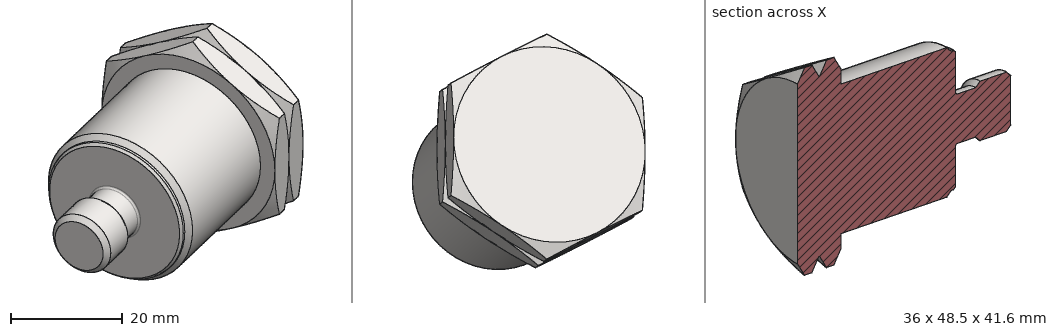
import cadquery as cq
import math

total_length = 48.5

nut_count = 2
nut_thickness = 5.0
across_flats = 36.0
across_corners = across_flats / math.cos(math.radians(30))
nut_chamfer_angle = 30.0

body_radius = 30.0 / 2
body_chamfer = 1.0
lip_radius = body_radius - body_chamfer
lip_length = 1.0
lip_chamfer = 0.5

neck_radius = 10.0 / 2
neck_fillet = 0.4
head_radius = 12.0 / 2
head_length = 8.0
head_chamfer = head_radius - neck_radius
pin_length = 12.5

body_front = total_length - pin_length
lip_start = body_front - lip_length
head_start = total_length - head_length


def make_nut(back):
    """Hexagonal nut with corners on Z, both faces chamfered down to the across-flats circle."""
    hexagon = (
        cq.Workplane("XZ", origin=(0, -back, 0))
        .polygon(6, across_corners)
        .extrude(nut_thickness)
        .rotate((0, 0, 0), (0, 1, 0), 30)
    )
    face_radius = across_flats / 2
    corner_radius = across_corners / 2
    chamfer_depth = (corner_radius - face_radius) * math.tan(math.radians(nut_chamfer_angle))
    front = back + nut_thickness
    envelope = (
        cq.Workplane("XY")
        .moveTo(0, -back)
        .lineTo(face_radius, -back)
        .lineTo(corner_radius, -back - chamfer_depth)
        .lineTo(corner_radius, -front + chamfer_depth)
        .lineTo(face_radius, -front)
        .lineTo(0, -front)
        .close()
        .revolve(360, (0, 0, 0), (0, 1, 0))
    )
    return hexagon.intersect(envelope)


def make_body_and_pin():
    """Body, lip, neck and pin head as one turned profile about the Y axis."""
    fillet_mid = neck_fillet * (1 - math.sqrt(0.5))
    return (
        cq.Workplane("XY")
        .lineTo(body_radius, 0)
        .lineTo(body_radius, -lip_start + body_chamfer)
        .lineTo(lip_radius, -lip_start)
        .lineTo(lip_radius, -body_front + lip_chamfer)
        .lineTo(lip_radius - lip_chamfer, -body_front)
        .lineTo(neck_radius + neck_fillet, -body_front)
        .threePointArc(
            (neck_radius + fillet_mid, -body_front - fillet_mid),
            (neck_radius, -body_front - neck_fillet),
        )
        .lineTo(neck_radius, -head_start)
        .lineTo(head_radius, -head_start - head_chamfer)
        .lineTo(head_radius, -total_length + head_chamfer)
        .lineTo(head_radius - head_chamfer, -total_length)
        .lineTo(0, -total_length)
        .close()
        .revolve(360, (0, 0, 0), (0, 1, 0))
    )


result = make_body_and_pin()
for index in range(nut_count):
    result = result.union(make_nut(index * nut_thickness))